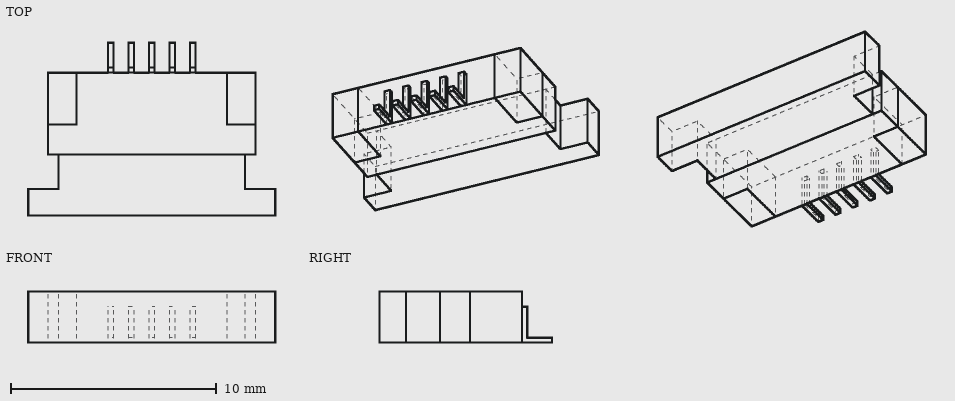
import cadquery as cq

height = 2.5
total_depth = 8.4

flange_width = 12.0
flange_depth = 1.3
neck_width = 9.07
neck_depth = 1.65

housing_width = 10.08
housing_depth = 3.98
corner_width = 1.38
corner_depth = 2.52

contact_count = 5
contact_pitch = 1.0
contact_width = 0.29
contact_thickness = 0.25
contact_height = 1.75

neck_start = flange_depth
housing_start = neck_start + neck_depth
housing_end = housing_start + housing_depth
contact_length = total_depth - housing_end


def block(width, depth, tall, x_center, y_start):
    """Box standing on the base plane, centred on x_center and starting at y_start."""
    return (
        cq.Workplane("XY")
        .box(width, depth, tall, centered=(True, False, False))
        .translate((x_center, y_start, 0))
    )


def make_slider():
    flange = block(flange_width, flange_depth, height, 0, 0)
    neck = block(neck_width, neck_depth, height, 0, neck_start)
    return flange.union(neck)


def make_corner_block(side):
    """Block in a rear corner of the housing; side is -1 for left, 1 for right."""
    x_center = side * (housing_width - corner_width) / 2
    return block(corner_width, corner_depth, height, x_center, housing_end - corner_depth)


def make_housing(corner_blocks):
    housing = block(housing_width, housing_depth, height, 0, housing_start)
    for corner_block in corner_blocks:
        housing = housing.cut(corner_block)
    return housing


def make_contact(x_center):
    """Upright leg against the housing with a flat solder tail running backwards."""
    tail = block(contact_width, contact_length, contact_thickness, x_center, housing_end)
    leg = block(contact_width, contact_thickness, contact_height, x_center, housing_end)
    return leg.union(tail)


slider = make_slider()
corner_blocks = [make_corner_block(side) for side in (-1, 1)]
housing = make_housing(corner_blocks)

contacts = []
for index in range(contact_count):
    x_center = (index - (contact_count - 1) / 2) * contact_pitch
    contacts.append(make_contact(x_center))

result = cq.Compound.makeCompound(
    [body.val() for body in [slider, housing, *corner_blocks, *contacts]]
)